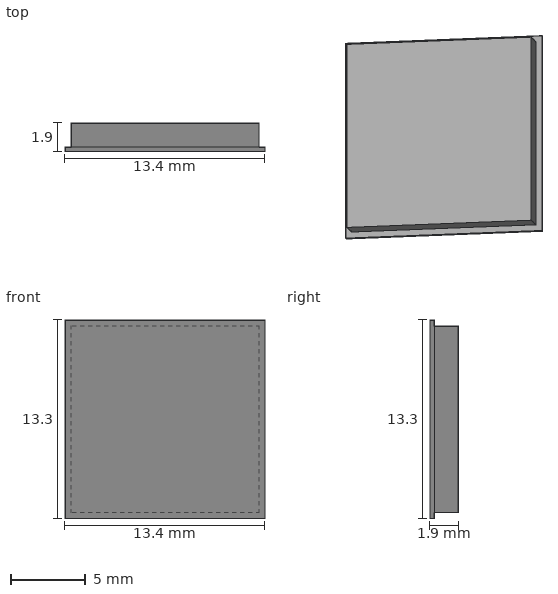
import cadquery as cq

plate_width = 13.4
plate_height = 13.3
plate_thickness = 0.3
overall_depth = 1.9
rim = 0.4

block_width = plate_width - 2 * rim
block_height = plate_height - 2 * rim
block_depth = overall_depth - plate_thickness


def make_slab(width, depth, height, front_y):
    """Rectangular slab centred in X and Z, reaching back in +Y from front_y."""
    slab = cq.Workplane("XY").box(width, depth, height, centered=(True, False, True))
    return slab.translate((0, front_y, 0))


front_plate = make_slab(plate_width, plate_thickness, plate_height, 0)

rear_block = make_slab(block_width, block_depth, block_height, plate_thickness)

result = cq.Compound.makeCompound([front_plate.val(), rear_block.val()])